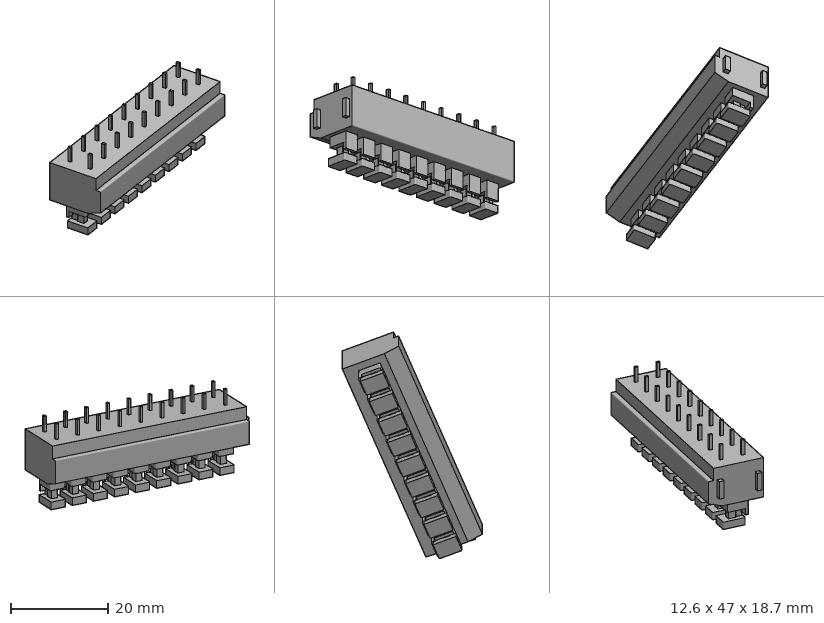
import cadquery as cq

housing_width = 12.6
total_length = 47
housing_length = 46.0
housing_bottom = 6.2
housing_top = 15.28
shelf_height = 12.45
shelf_x = 11.45
slope_start_x = 9.4
slope_end_z = 7.35
edge_radius = 0.25

pole_count = 9
first_to_last_pole = 40.0
pole_pitch = first_to_last_pole / (pole_count - 1)

pins_per_pole = 2
pin_size_x = 0.7
pin_size_y = 0.5
pin_top = 18.7
pin_row_spacing = pole_pitch
first_pin_x = 3.2
first_pin_y = 2.75

guide_x = (2.95, 7.8)
guide_y = (1.6, 5.0)
guide_bottom = 3.85
lip_thickness = 0.7
lip_bottom = 2.4
button_x = (3.52, 8.6)
button_y = (1.3, 4.75)
button_height = 1.7
stem_x = (5.25, 6.9)
stem_y = (2.35, 3.75)
rib_y = (2.6, 3.52)
rib_top_x = 4.3
rib_bottom_x = 3.6

coupling_z = (8.45, shelf_height)
coupling_ribs_x = ((0.85, 1.9), (9.5, 10.6))


def block(x_range, y_range, z_range):
    """Axis-aligned box between the given limits."""
    size = [high - low for low, high in (x_range, y_range, z_range)]
    corner = (x_range[0], y_range[0], z_range[0])
    return cq.Workplane("XY").box(*size, centered=False).translate(corner)


def prism_along_y(points, y_range):
    """Extrude an XZ outline between two Y positions."""
    profile = cq.Workplane("XZ", origin=(0, y_range[0], 0)).polyline(points).close()
    return profile.extrude(y_range[0] - y_range[1])


def make_housing():
    outline = [
        (0, housing_bottom),
        (slope_start_x, housing_bottom),
        (housing_width, slope_end_z),
        (housing_width, shelf_height),
        (shelf_x, shelf_height),
        (shelf_x, housing_top),
        (0, housing_top),
    ]
    housing = prism_along_y(outline, (0, housing_length))
    lower_back_edge = cq.selectors.NearestToPointSelector((0, housing_length / 2, housing_bottom))
    shelf_edge = cq.selectors.NearestToPointSelector((housing_width, housing_length / 2, shelf_height))
    return housing.edges(lower_back_edge).fillet(edge_radius).edges(shelf_edge).fillet(edge_radius)


def make_pin(x_center, y_center):
    x_range = (x_center - pin_size_x / 2, x_center + pin_size_x / 2)
    y_range = (y_center - pin_size_y / 2, y_center + pin_size_y / 2)
    return block(x_range, y_range, (housing_top, pin_top))


def make_lever():
    """Guide with its lip, and the button hanging from it on a ribbed stem."""
    lip_x = guide_x[0] + lip_thickness
    guide = block(guide_x, guide_y, (lip_bottom, housing_bottom))
    guide = guide.cut(block((lip_x, guide_x[1]), guide_y, (lip_bottom, guide_bottom)))
    guide = guide.edges("|Z and <Y").edges("<X or >X").fillet(edge_radius)
    button = block(button_x, button_y, (0, button_height)).edges("|Z and >Y").fillet(edge_radius)
    stem = block(stem_x, stem_y, (button_height, guide_bottom))
    rib_outline = [
        (rib_bottom_x, button_height),
        (stem_x[0], button_height),
        (stem_x[0], guide_bottom),
        (rib_top_x, guide_bottom),
    ]
    rib = prism_along_y(rib_outline, rib_y)
    return guide.union(button).union(stem).union(rib)


result = make_housing()

lever = make_lever()
for pole in range(pole_count):
    y_offset = pole * pole_pitch
    result = result.union(lever.translate((0, y_offset, 0)))
    for row in range(pins_per_pole):
        pin = make_pin(first_pin_x + row * pin_row_spacing, first_pin_y + y_offset)
        result = result.union(pin)

coupling_y = (housing_length, total_length)
for rib_x in coupling_ribs_x:
    result = result.union(block(rib_x, coupling_y, coupling_z))